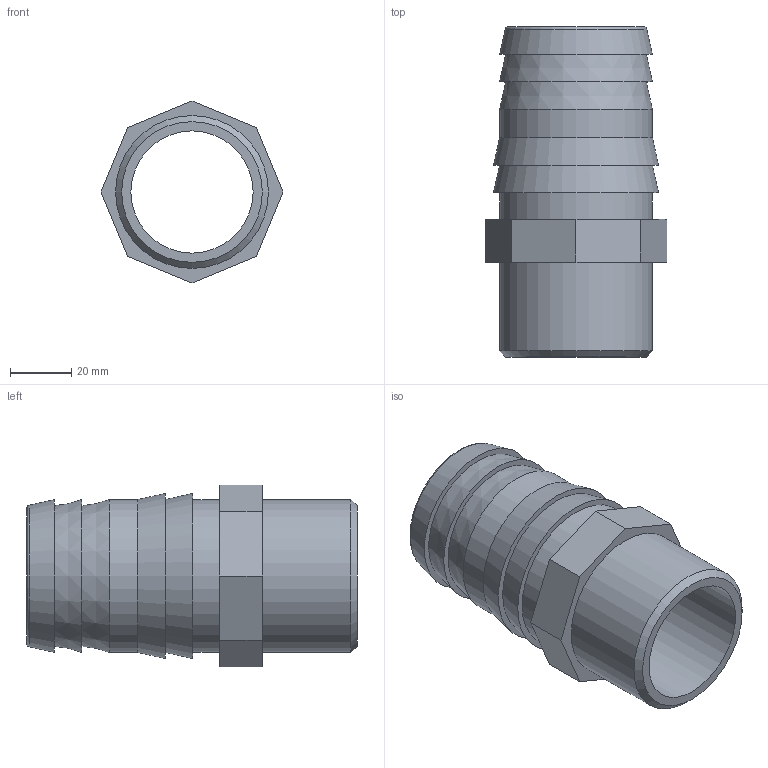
import cadquery as cq
import math


total_length = 108.0
bore_diameter = 40.0
body_diameter = 50.0

spigot_length = 31.0
spigot_chamfer = 2.0

collar_sides = 8
collar_across_flats = 55.0
collar_length = 14.0

neck_length = 8.75
barb_length = 9.0
barb_height = 2.0
large_barb_count = 2
small_barb_count = 3
tip_round = 1.0

body_radius = body_diameter / 2
large_radius = body_radius + barb_height
collar_across_corners = collar_across_flats / math.cos(math.pi / collar_sides)
large_barbs_start = spigot_length + collar_length + neck_length
small_barbs_start = total_length - small_barb_count * barb_length


def add_barbs(profile, start, count, wide_radius):
    """Extend the profile with barbs that each narrow by one barb height toward +Y."""
    for index in range(count):
        wide_end = start + index * barb_length
        profile = profile.lineTo(wide_radius, wide_end)
        profile = profile.lineTo(wide_radius - barb_height, wide_end + barb_length)
    return profile


def make_body():
    """Solid of revolution about Y: spigot, neck, large barbs, plain band and small barbs."""
    profile = (
        cq.Workplane("XY")
        .lineTo(body_radius - spigot_chamfer, 0)
        .lineTo(body_radius, spigot_chamfer)
        .lineTo(body_radius, large_barbs_start)
    )
    profile = add_barbs(profile, large_barbs_start, large_barb_count, large_radius)
    profile = add_barbs(profile, small_barbs_start, small_barb_count, body_radius)
    profile = profile.lineTo(0, total_length).close()
    body = profile.revolve(360, (0, 0, 0), (0, 1, 0))
    return body.faces(">Y").edges().fillet(tip_round)


def cross_section(y_position):
    """Workplane across the axis at the given Y, extruding toward +Y."""
    return cq.Workplane(cq.Plane(origin=(0, y_position, 0), xDir=(1, 0, 0), normal=(0, 1, 0)))


def make_collar():
    """Octagonal wrench collar with corners on the X and Z axes."""
    outline = cross_section(spigot_length).polygon(collar_sides, collar_across_corners)
    return outline.extrude(collar_length)


def make_bore():
    """Straight bore through the whole length."""
    return cross_section(0).circle(bore_diameter / 2).extrude(total_length)


result = make_body().union(make_collar()).cut(make_bore())